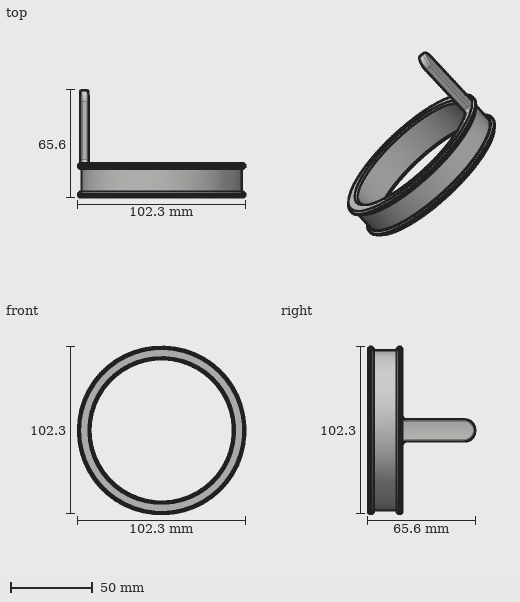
import cadquery as cq
import math

RING_WIDTH = 21.2
FLANGE_RADIUS = 51.15
GROOVE_RADIUS = 49.0
BORE_RADIUS = 43.45
FLANGE_WIDTH = 3.65
CHAMFER = 1.3
FLANGE_SHOULDER_RADIUS = FLANGE_RADIUS - CHAMFER
BORE_MOUTH_RADIUS = BORE_RADIUS + CHAMFER

TOTAL_LENGTH = 65.61
HANDLE_WIDTH = 13.7
HANDLE_EDGE_RADIUS = 1.1
ROOT_RADIUS = 2.1
HANDLE_INNER_RADIUS = BORE_MOUTH_RADIUS
HANDLE_OUTER_RADIUS = FLANGE_SHOULDER_RADIUS


def make_ring():
    """Spool-shaped ring with chamfered flanges and a chamfered bore."""
    rear_groove_wall = RING_WIDTH - FLANGE_WIDTH
    profile = [
        (BORE_MOUTH_RADIUS, 0),
        (FLANGE_SHOULDER_RADIUS, 0),
        (FLANGE_RADIUS, CHAMFER),
        (FLANGE_RADIUS, FLANGE_WIDTH - CHAMFER),
        (FLANGE_SHOULDER_RADIUS, FLANGE_WIDTH),
        (GROOVE_RADIUS, FLANGE_WIDTH),
        (GROOVE_RADIUS, rear_groove_wall),
        (FLANGE_SHOULDER_RADIUS, rear_groove_wall),
        (FLANGE_RADIUS, rear_groove_wall + CHAMFER),
        (FLANGE_RADIUS, RING_WIDTH - CHAMFER),
        (FLANGE_SHOULDER_RADIUS, RING_WIDTH),
        (BORE_MOUTH_RADIUS, RING_WIDTH),
        (BORE_RADIUS, RING_WIDTH - CHAMFER),
        (BORE_RADIUS, CHAMFER),
    ]
    section = cq.Workplane("XY").polyline([(-radius, y) for radius, y in profile]).close()
    return section.revolve(360, (0, 0, 0), (0, 1, 0))


def make_handle():
    """Round-ended strip bent concentric with the ring, with a flared root."""
    half_width = HANDLE_WIDTH / 2
    root_half_width = half_width + ROOT_RADIUS
    root_end = RING_WIDTH + ROOT_RADIUS
    tip_center = TOTAL_LENGTH - half_width
    arc_middle_offset = ROOT_RADIUS * (1 - math.sqrt(0.5))
    flare_middle = (RING_WIDTH + arc_middle_offset, half_width + arc_middle_offset)
    outline = (
        cq.Workplane("YZ")
        .moveTo(RING_WIDTH, -root_half_width)
        .threePointArc((flare_middle[0], -flare_middle[1]), (root_end, -half_width))
        .lineTo(tip_center, -half_width)
        .threePointArc((TOTAL_LENGTH, 0), (tip_center, half_width))
        .lineTo(root_end, half_width)
        .threePointArc(flare_middle, (RING_WIDTH, root_half_width))
        .close()
        .extrude(-FLANGE_RADIUS)
    )
    shell = (
        cq.Workplane("XZ")
        .circle(HANDLE_OUTER_RADIUS)
        .circle(HANDLE_INNER_RADIUS)
        .extrude(-TOTAL_LENGTH)
    )
    return outline.intersect(shell)


def round_handle_edges(handle):
    """Round the edges that outline the two curved faces, leaving the root plane sharp."""
    return handle.edges("not(|X or <Y)").fillet(HANDLE_EDGE_RADIUS)


ring = make_ring()
handle = round_handle_edges(make_handle())
result = ring.union(handle)